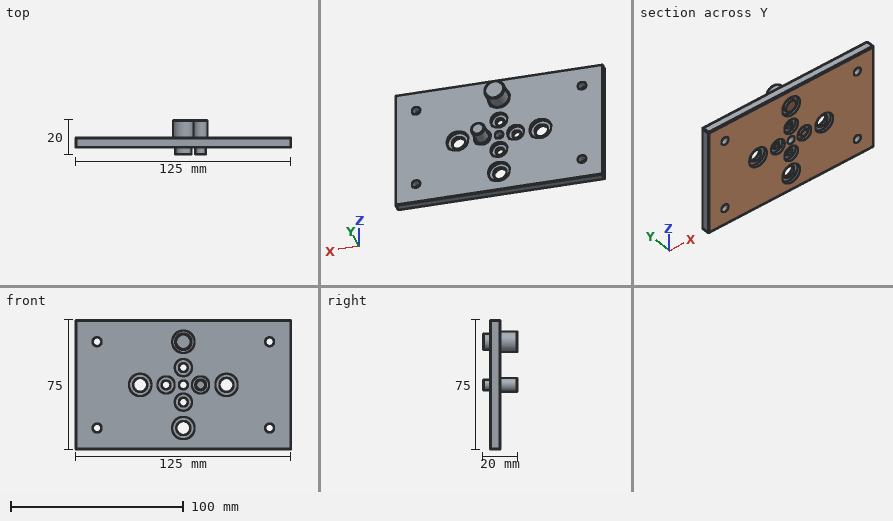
import cadquery as cq

plate_length = 125.0
plate_height = 75.0
plate_thickness = 6.0
plate_chamfer = 0.5

front_y = -plate_thickness / 2
back_y = plate_thickness / 2

plain_hole_diameter = 5.0
corner_hole_x = 50.0
corner_hole_z = 25.0

recess_depth = 2.0
small_cross_radius = 10.0
small_bore_diameter = 5.0
small_recess_diameter = 10.0
large_cross_radius = 25.0
large_bore_diameter = 8.0
large_recess_diameter = 13.0

head_length = 10.0
tip_length = 4.0
pin_chamfer = 0.5
small_head_diameter = 8.0
small_tip_diameter = 6.2
large_head_diameter = 12.0
large_tip_diameter = 9.5

corner_places = [(sx * corner_hole_x, sz * corner_hole_z) for sx in (-1, 1) for sz in (-1, 1)]
cross_directions = [(1, 0), (0, 1), (-1, 0), (0, -1)]
small_places = [(small_cross_radius * dx, small_cross_radius * dz) for dx, dz in cross_directions]
large_places = [(large_cross_radius * dx, large_cross_radius * dz) for dx, dz in cross_directions]
small_pin_place = (small_cross_radius, 0)
large_pin_place = (0, large_cross_radius)


def cylinder(place, diameter, start_y, end_y):
    """Cylinder along Y at an (X, Z) place, from start_y to end_y."""
    x, z = place
    axis = cq.Vector(0, 1, 0)
    return cq.Workplane(cq.Solid.makeCylinder(diameter / 2, end_y - start_y, cq.Vector(x, start_y, z), axis))


def cut_plain_holes(body):
    """Drill the corner holes and the middle hole straight through."""
    for place in corner_places + [(0, 0)]:
        body = body.cut(cylinder(place, plain_hole_diameter, front_y, back_y))
    return body


def cut_stepped_holes(body, places, bore_diameter, recess_diameter):
    """Drill a bore at every place and sink a flat recess around it into each face."""
    for place in places:
        body = body.cut(cylinder(place, bore_diameter, front_y, back_y))
        body = body.cut(cylinder(place, recess_diameter, front_y, front_y + recess_depth))
        body = body.cut(cylinder(place, recess_diameter, back_y - recess_depth, back_y))
    return body


def make_plate():
    body = cq.Workplane().box(plate_length, plate_thickness, plate_height).edges().chamfer(plate_chamfer)
    body = cut_plain_holes(body)
    body = cut_stepped_holes(body, small_places, small_bore_diameter, small_recess_diameter)
    return cut_stepped_holes(body, large_places, large_bore_diameter, large_recess_diameter)


def make_pin(place, head_diameter, neck_diameter, tip_diameter):
    """Pin with a narrow neck through the plate, chamfered at both outer ends."""
    head = cylinder(place, head_diameter, back_y, back_y + head_length)
    head = head.faces(">Y").chamfer(pin_chamfer)
    neck = cylinder(place, neck_diameter, front_y, back_y)
    tip = cylinder(place, tip_diameter, front_y - tip_length, front_y)
    tip = tip.faces("<Y").chamfer(pin_chamfer)
    return head.union(neck).union(tip)


plate = make_plate()
small_pin = make_pin(small_pin_place, small_head_diameter, small_bore_diameter, small_tip_diameter)
large_pin = make_pin(large_pin_place, large_head_diameter, large_bore_diameter, large_tip_diameter)

result = cq.Compound.makeCompound([plate.val(), small_pin.val(), large_pin.val()])